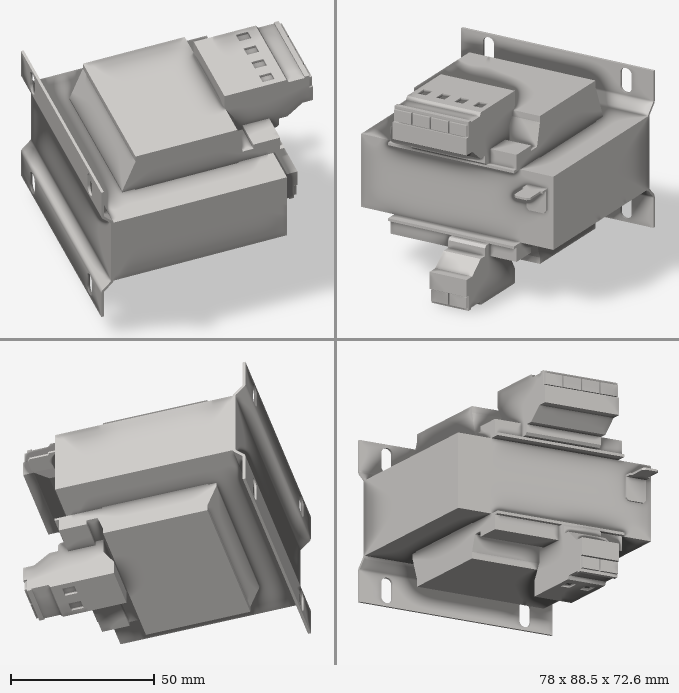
import cadquery as cq
import math


core_width = 78.0
core_half_height = 13.8
core_leg = 13.0
core_back_y = 69.5
bracket_offset = 3.7
sheet = 1.0
core_front_y = bracket_offset + sheet
yoke_y = core_back_y - core_leg
window_front_y = core_front_y + core_leg
window_half_width = core_width / 2 - core_leg

coil_width = 51.2
coil_front_y = 18.0
coil_rear_y = 56.1
coil_lip = 2.4
coil_slope_foot_y = 58.1
ledge_z = 18.25
seat_front_y = 62.1
seat_back_y = 72.1
seat_z = 20.2
rim_back_y = 73.8
rim_thickness = 1.0
coil_top = (29.2, 13.0, 14.4)
coil_bottom = (26.6, 14.7, 15.4)

terminal_width = 15.0
terminal_front_y = 55.4
terminal_back_y = 88.5
terminal_z = 36.3
terminal_foot_z = 15.1
terminal_nose_z = 30.6
undercut_y = 59.1
undercut_z = 24.5
hook_back_y = 75.8
hook_top_z = 18.9
hook_chamfer = 0.9
overhang_front_y = 78.9
overhang_back_y = 84.6
overhang_z = 23.5
groove_z = 35.0
groove_front_y = 79.4
groove_back_y = 85.4
groove_rim_z = 35.6
groove_slope = 0.8
marker_face_y = 87.2
marker_face_z = 29.9
pad_width = 6.9
pad_thickness = 1.0
pad_bottom_z = 30.3
pad_top_z = 34.5
poles = 2
pole_pitch = terminal_width / poles
screw_width = 3.5
screw_length = 4.5
screw_y = 72.65
screw_depth = 1.0

bracket_half_height = 29.6
bend_angle = 45.0
bend_inner_radius = 1.0
bend_outer_radius = bend_inner_radius + sheet
slot_width = 4.6
slot_length = 9.3
slot_x = 27.9
slot_z = 23.75

tab_x = -32.5
tab_sheet = 0.8
tab_width = 6.4
tab_shoulder_width = 8.0
tab_shoulder_y = 72.8
tab_tip_y = 80.8
tab_tip_chamfer = 1.0
tab_top_z = 8.8
tab_bottom_z = -0.5


def extrude_along_x(points, x_start, x_end):
    """Prism with a Y-Z outline between two X positions."""
    return cq.Workplane("YZ", origin=(x_start, 0, 0)).polyline(points).close().extrude(x_end - x_start)


def block(x_start, x_end, y_start, y_end, z_start, z_end):
    """Box between pairs of limits."""
    size = (x_end - x_start, y_end - y_start, z_end - z_start)
    return cq.Workplane("XY").box(*size, centered=False).translate((x_start, y_start, z_start))


def make_core():
    """E-shaped stack with its window cut through, closed by a yoke of the same section."""
    half_width = core_width / 2
    stack = block(-half_width, half_width, core_front_y, yoke_y, -core_half_height, core_half_height)
    window = block(
        -window_half_width, window_half_width, window_front_y, yoke_y, -core_half_height, core_half_height
    )
    yoke = block(-half_width, half_width, yoke_y, core_back_y, -core_half_height, core_half_height)
    return stack.cut(window).union(yoke, clean=False)


def make_coil_middle():
    """Winding and centre leg filling the core window, with a thin gap on each side."""
    half_width = coil_width / 2
    return block(-half_width, half_width, window_front_y, yoke_y, -core_half_height, core_half_height)


def make_coil_end(side, face_z, front_foot_y, front_foot_z):
    """Coil end standing on the core, with rim and terminal seat (side is +1 or -1)."""
    rim_z = core_half_height + rim_thickness
    outline = [
        (front_foot_y, core_half_height),
        (front_foot_y, front_foot_z),
        (coil_front_y, face_z - coil_lip),
        (coil_front_y, face_z),
        (coil_rear_y, face_z),
        (coil_rear_y, face_z - coil_lip),
        (coil_slope_foot_y, ledge_z),
        (seat_front_y, ledge_z),
        (seat_front_y, seat_z),
        (seat_back_y, seat_z),
        (seat_back_y, rim_z),
        (rim_back_y, rim_z),
        (rim_back_y, core_half_height),
    ]
    points = [(y, side * z) for y, z in outline]
    return extrude_along_x(points, -coil_width / 2, coil_width / 2)


def make_terminal(x_start, side):
    """Two-pole terminal block with marker pads and screw recesses."""
    outline = [
        (terminal_front_y, terminal_z),
        (terminal_front_y, terminal_nose_z),
        (undercut_y, undercut_z),
        (undercut_y, terminal_foot_z),
        (hook_back_y - hook_chamfer, terminal_foot_z),
        (hook_back_y, terminal_foot_z + hook_chamfer),
        (hook_back_y, hook_top_z),
        (overhang_front_y, hook_top_z),
        (overhang_back_y, overhang_z),
        (terminal_back_y, overhang_z),
        (terminal_back_y, marker_face_z),
        (marker_face_y, marker_face_z),
        (marker_face_y, groove_rim_z),
        (groove_back_y, groove_rim_z),
        (groove_back_y, groove_z),
        (groove_front_y, groove_z),
        (groove_front_y - groove_slope, terminal_z),
    ]
    points = [(y, side * z) for y, z in outline]
    terminal = extrude_along_x(points, x_start, x_start + terminal_width)
    for pole in range(poles):
        pole_x = x_start + (pole + 0.5) * pole_pitch
        pad = cq.Workplane("XY").box(pad_width, pad_thickness, pad_top_z - pad_bottom_z)
        pad_z = side * (pad_top_z + pad_bottom_z) / 2
        terminal = terminal.union(pad.translate((pole_x, marker_face_y + pad_thickness / 2, pad_z)))
        recess = cq.Workplane("XY").box(screw_width, screw_length, screw_depth)
        recess_z = side * (terminal_z - screw_depth / 2)
        terminal = terminal.cut(recess.translate((pole_x, screw_y, recess_z)))
    return terminal


def make_bracket():
    """Bent sheet: web against the core, sloping joggles and two slotted flanges."""
    bend_shift = sheet * math.tan(math.radians(bend_angle / 2))
    web_outer_z = core_half_height
    joggle_height = bracket_offset / math.tan(math.radians(bend_angle))
    web_inner_z = web_outer_z + bend_shift
    flange_outer_z = web_outer_z + joggle_height
    flange_inner_z = flange_outer_z + bend_shift
    outer_face = [
        (bracket_offset, web_outer_z),
        (0, flange_outer_z),
        (0, bracket_half_height),
    ]
    inner_face = [
        (sheet, bracket_half_height),
        (sheet, flange_inner_z),
        (core_front_y, web_inner_z),
    ]
    upper_half = outer_face + inner_face
    lower_half = [(y, -z) for y, z in reversed(upper_half)]
    half_width = core_width / 2
    bracket = extrude_along_x(upper_half + lower_half, -half_width, half_width)
    bends = [
        (bracket_offset, web_outer_z, bend_inner_radius),
        (core_front_y, web_inner_z, bend_outer_radius),
        (0, flange_outer_z, bend_outer_radius),
        (sheet, flange_inner_z, bend_inner_radius),
    ]
    for y, z, radius in bends:
        for side in (1, -1):
            edge = cq.selectors.NearestToPointSelector((0, y, side * z))
            bracket = bracket.edges("|X").edges(edge).fillet(radius)
    slots = (
        cq.Workplane("XZ", origin=(0, sheet, 0))
        .rect(2 * slot_x, 2 * slot_z, forConstruction=True)
        .vertices()
        .slot2D(slot_length, slot_width, 90)
        .extrude(sheet)
    )
    return bracket.cut(slots)


def make_earth_tab():
    """Right-angled push-on tab fixed to the back of the yoke."""
    half_width = tab_width / 2
    half_shoulder = tab_shoulder_width / 2
    right_side = [
        (half_shoulder, core_back_y),
        (half_shoulder, tab_shoulder_y),
        (half_width, tab_shoulder_y),
        (half_width, tab_tip_y - tab_tip_chamfer),
        (half_width - tab_tip_chamfer, tab_tip_y),
    ]
    left_side = [(-x, y) for x, y in reversed(right_side)]
    blade = (
        cq.Workplane("XY", origin=(tab_x, 0, tab_top_z))
        .polyline(right_side + left_side)
        .close()
        .extrude(-tab_sheet)
    )
    foot = block(
        tab_x - half_shoulder,
        tab_x + half_shoulder,
        core_back_y,
        core_back_y + tab_sheet,
        tab_bottom_z,
        tab_top_z,
    )
    foot = foot.edges("|Y and <Z").chamfer(tab_tip_chamfer)
    return foot.union(blade)


result = make_core().union(make_bracket(), clean=False)
result = result.union(make_coil_middle(), clean=False)
result = result.union(make_coil_end(1, *coil_top), clean=False)
result = result.union(make_coil_end(-1, *coil_bottom), clean=False)
for terminal_x, terminal_side in [(-terminal_width, 1), (0, 1), (-terminal_width, -1)]:
    result = result.union(make_terminal(terminal_x, terminal_side), clean=False)
result = result.union(make_earth_tab(), clean=False)